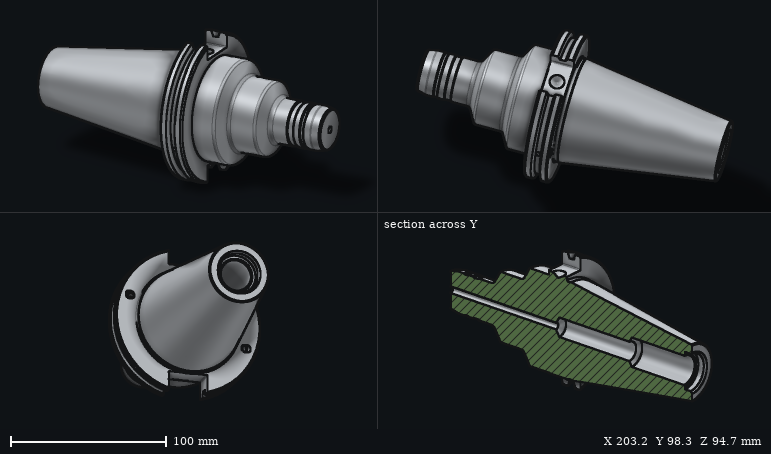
import cadquery as cq
import math


overall_length = 203.2
gauge_diameter = 70.0
taper_length = 101.5
taper_ratio = 7 / 24
small_end_diameter = gauge_diameter - taper_length * taper_ratio
small_end_chamfer = 0.6
gauge_edge_bevel = 0.5
neck_diameter = 69.3
neck_fillet = 0.8

flange_diameter = 98.3
flange_start = 105.0
flange_end = 120.7
flange_front_chamfer = 0.8
flange_back_chamfer = 1.2
groove_middle = 112.5
groove_floor_width = 3.5
groove_mouth_width = 6.3
groove_depth = 3.7
groove_floor_radius = flange_diameter / 2 - groove_depth

body_diameter = 70.0
collar_diameter = 50.4
shank_diameter = 30.0
shoulder_angle = 60
body_end = 136.8
collar_end = 161.3
corner_radius = 2.0
collar_root_radius = 2.5
shank_root_radius = 3.5

shank_groove_diameter = 29.0
shank_grooves = [(179.5, 184.3), (188.5, 191.6)]
lead_in_start = 196.7
lead_in_radius = 3.0
lead_in_end_diameter = 27.6
tip_diameter = 26.2
tip_chamfer_length = 1.0

bore_mouth_diameter = 29.0
counterbore_diameter = 26.2
counterbore_depth = 6.0
thread_mouth_diameter = 22.0
thread_bore_diameter = 20.5
thread_bore_depth = 50.8
middle_bore_diameter = 13.5
middle_bore_depth = 111.8
through_hole_diameter = 4.3
drill_point_angle = 59

keyway_width = 26.2
upper_keyway_floor = 37.8
lower_keyway_floor = 35.2
keyway_corner_radius = 0.6
dimple_diameter = 9.5
dimple_depth = 2.8

coolant_angle = 20
channel_mouth_radius = 42.0
channel_tilt = 30
channel_diameter = 4.0
channel_length = 10.2
channel_counterbore_diameter = 5.0
channel_counterbore_depth = 2.0
vent_diameter = 3.3
vent_depth = 8.1


def revolve_about_x(points):
    """Revolve a closed outline of (x, radius) points about the X axis."""
    return cq.Workplane("XY").polyline(points).close().revolve(360, (0, 0, 0), (1, 0, 0))


def shoulder_run(large_diameter, small_diameter):
    """Axial length of a conical shoulder."""
    return (large_diameter - small_diameter) / 2 / math.tan(math.radians(shoulder_angle))


def cone_run(large_diameter, small_diameter):
    """Axial length of a drill-point cone."""
    return (large_diameter - small_diameter) / 2 / math.tan(math.radians(drill_point_angle))


def fillet_circle(solid, x, diameter, radius):
    """Round the circular edge of the given diameter that lies at x."""
    margin = 0.2
    half = diameter / 2 + margin
    box = cq.selectors.BoxSelector((x - margin, -half, -half), (x + margin, half, half), boundingbox=True)
    return solid.edges(box).fillet(radius)


def make_taper():
    radius_small = small_end_diameter / 2
    radius_gauge = gauge_diameter / 2
    radius_neck = neck_diameter / 2
    return revolve_about_x([
        (0, 0),
        (0, radius_small - small_end_chamfer),
        (small_end_chamfer, radius_small + small_end_chamfer * taper_ratio / 2),
        (taper_length, radius_gauge),
        (taper_length + gauge_edge_bevel, radius_neck),
        (flange_start, radius_neck),
        (flange_start, 0),
    ])


def make_flange():
    radius = flange_diameter / 2
    floor_start = groove_middle - groove_floor_width / 2
    floor_end = groove_middle + groove_floor_width / 2
    wall_run = (groove_mouth_width - groove_floor_width) / 2
    return revolve_about_x([
        (flange_start, 0),
        (flange_start, radius - flange_front_chamfer),
        (flange_start + flange_front_chamfer, radius),
        (floor_start - wall_run, radius),
        (floor_start, groove_floor_radius),
        (floor_end, groove_floor_radius),
        (floor_end + wall_run, radius),
        (flange_end - flange_back_chamfer, radius),
        (flange_end, radius - flange_back_chamfer),
        (flange_end, 0),
    ])


def make_nose():
    collar_start = body_end + shoulder_run(body_diameter, collar_diameter)
    shank_start = collar_end + shoulder_run(collar_diameter, shank_diameter)
    nose = revolve_about_x([
        (flange_end, 0),
        (flange_end, body_diameter / 2),
        (body_end, body_diameter / 2),
        (collar_start, collar_diameter / 2),
        (collar_end, collar_diameter / 2),
        (shank_start, shank_diameter / 2),
        (lead_in_start, shank_diameter / 2),
        (overall_length - tip_chamfer_length, lead_in_end_diameter / 2),
        (overall_length, tip_diameter / 2),
        (overall_length, 0),
    ])
    nose = fillet_circle(nose, body_end, body_diameter, corner_radius)
    nose = fillet_circle(nose, collar_start, collar_diameter, collar_root_radius)
    nose = fillet_circle(nose, collar_end, collar_diameter, corner_radius)
    nose = fillet_circle(nose, shank_start, shank_diameter, shank_root_radius)
    nose = fillet_circle(nose, lead_in_start, shank_diameter, lead_in_radius)
    for start, end in shank_grooves:
        nose = nose.cut(make_shank_groove(start, end))
    return nose


def make_shank_groove(start, end):
    """Ring that cuts a shallow groove with 45-degree walls; start and end are its mouth edges."""
    floor_radius = shank_groove_diameter / 2
    mouth_radius = shank_diameter / 2
    depth = mouth_radius - floor_radius
    return revolve_about_x([
        (start + depth, floor_radius),
        (end - depth, floor_radius),
        (end + depth, mouth_radius + depth),
        (start - depth, mouth_radius + depth),
    ])


def make_bore():
    mouth_chamfer = (bore_mouth_diameter - counterbore_diameter) / 2
    thread_chamfer = (thread_mouth_diameter - thread_bore_diameter) / 2
    return revolve_about_x([
        (0, 0),
        (0, bore_mouth_diameter / 2),
        (mouth_chamfer, counterbore_diameter / 2),
        (counterbore_depth, counterbore_diameter / 2),
        (counterbore_depth, thread_mouth_diameter / 2),
        (counterbore_depth + thread_chamfer, thread_bore_diameter / 2),
        (thread_bore_depth, thread_bore_diameter / 2),
        (thread_bore_depth + cone_run(thread_bore_diameter, middle_bore_diameter), middle_bore_diameter / 2),
        (middle_bore_depth, middle_bore_diameter / 2),
        (middle_bore_depth + cone_run(middle_bore_diameter, through_hole_diameter), through_hole_diameter / 2),
        (overall_length, through_hole_diameter / 2),
        (overall_length, 0),
    ])


def make_keyway(floor_height, direction):
    """Slot across the flange, open outward along +Z (direction 1) or -Z (direction -1)."""
    height = flange_diameter / 2
    length = flange_end - flange_start
    middle = (flange_start + flange_end) / 2
    slot = cq.Workplane("XY").box(length, keyway_width, height)
    floor_side = "<Z" if direction > 0 else ">Z"
    slot = slot.faces(floor_side).edges("|X").fillet(keyway_corner_radius)
    return slot.translate((middle, 0, direction * (floor_height + height / 2)))


def make_dimple():
    """Conical dimple in the floor of the upper keyway."""
    cone = cq.Solid.makeCone(
        dimple_diameter / 2, 0, dimple_depth,
        pnt=cq.Vector(groove_middle, 0, upper_keyway_floor), dir=cq.Vector(0, 0, -1),
    )
    return cq.Workplane(cone)


def make_coolant_channel():
    """Stepped channel slanting in from the flange face, with a vent from the groove, along +Y."""
    tilt = math.radians(channel_tilt)
    mouth = cq.Vector(flange_start, channel_mouth_radius, 0)
    inward = cq.Vector(math.cos(tilt), -math.sin(tilt), 0)
    lead = channel_counterbore_diameter
    start = mouth - inward * lead
    channel = cq.Solid.makeCylinder(channel_diameter / 2, lead + channel_length, start, inward)
    counterbore = cq.Solid.makeCylinder(
        channel_counterbore_diameter / 2, lead + channel_counterbore_depth, start, inward
    )
    vent_top = cq.Vector(groove_middle, flange_diameter / 2, 0)
    vent = cq.Solid.makeCylinder(vent_diameter / 2, groove_depth + vent_depth, vent_top, cq.Vector(0, -1, 0))
    return cq.Workplane(channel).union(counterbore).union(vent)


holder = make_taper().union(make_flange()).union(make_nose())
holder = fillet_circle(holder, flange_start, neck_diameter, neck_fillet)
holder = holder.cut(make_bore())
holder = holder.cut(make_keyway(upper_keyway_floor, 1)).cut(make_keyway(lower_keyway_floor, -1))
holder = holder.cut(make_dimple())
for side_angle in (coolant_angle, coolant_angle + 180):
    holder = holder.cut(make_coolant_channel().rotate((0, 0, 0), (1, 0, 0), side_angle))

result = holder